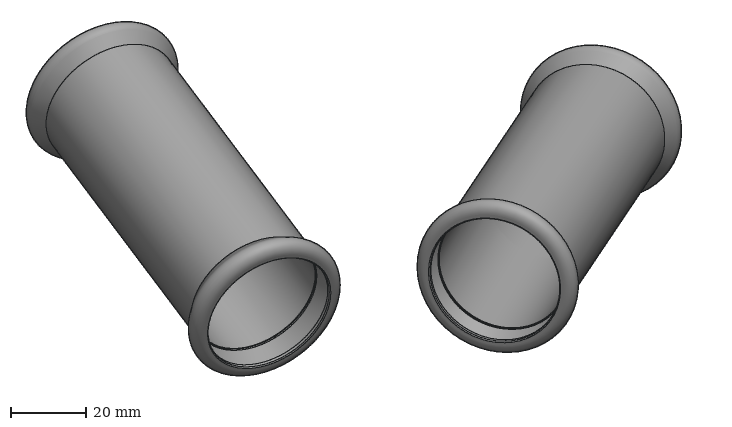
import cadquery as cq
import math

length = 102.0
bead_diameter = 44.4
tube_diameter = 38.4
bore_diameter = 35.4
socket_diameter = 35.9

bead_round = 3.0
cone_angle = math.radians(36)
bead_wall = 1.2

mouth_diameter = 36.5
lip_chamfer = 0.3
lip_thickness = 1.2

socket_length = 0.5

half_length = length / 2
tube_radius = tube_diameter / 2
bore_radius = bore_diameter / 2
socket_radius = socket_diameter / 2
mouth_radius = mouth_diameter / 2
bead_centre_radius = bead_diameter / 2 - bead_round
groove_round = bead_round - bead_wall


def bead_point(arc_radius, angle):
    """Point on a circle about the bead centre: distance from the end and radius from the axis."""
    return (
        bead_round + arc_radius * math.sin(angle),
        bead_centre_radius + arc_radius * math.cos(angle),
    )


def cone_foot(cone_top, foot_radius):
    """Point where the cone leaving the bead at cone_top comes down to foot_radius."""
    depth, radius = cone_top
    return (depth + (radius - foot_radius) / math.tan(cone_angle), foot_radius)


def make_half():
    """Revolve the left half of the wall, from its end face to the middle of the tube."""
    outer_cone_top = bead_point(bead_round, cone_angle)
    groove_cone_top = bead_point(groove_round, cone_angle)
    groove_foot = cone_foot(groove_cone_top, socket_radius)
    socket_end = groove_foot[0] + socket_length
    groove_front = bead_round - groove_round
    wall = (
        cq.Workplane("XY")
        .moveTo(half_length, bore_radius)
        .lineTo(half_length, tube_radius)
        .lineTo(*cone_foot(outer_cone_top, tube_radius))
        .lineTo(*outer_cone_top)
        .threePointArc(bead_point(bead_round, 0), (0, bead_centre_radius))
        .lineTo(0, mouth_radius)
        .lineTo(lip_chamfer, socket_radius)
        .lineTo(lip_thickness, socket_radius)
        .lineTo(groove_front, bead_centre_radius)
        .threePointArc(bead_point(groove_round, 0), groove_cone_top)
        .lineTo(*groove_foot)
        .lineTo(socket_end, socket_radius)
        .lineTo(socket_end, bore_radius)
        .close()
        .revolve(360, (0, 0, 0), (1, 0, 0))
    )
    return wall.translate((-half_length, 0, 0))


left_half = make_half()
result = left_half.union(left_half.mirror("YZ")).clean()